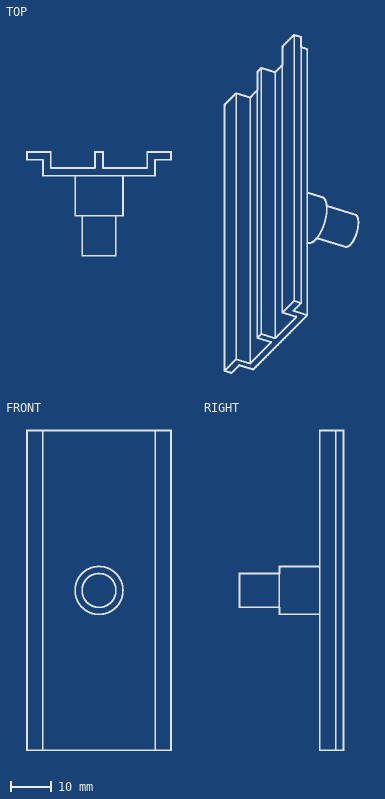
import cadquery as cq

length = 80.0
overall_width = 36.0
channel_width = 28.0
rail_depth = 6.0
wall = 2.0

boss_diameter = 12.0
boss_length = 10.0
pin_diameter = 8.5
pin_length = 10.0

inner_width = channel_width - 2 * wall
front_y = -rail_depth


def bar(width, depth, y_back, x_center=0.0):
    """Full-length rectangular bar reaching forward from y_back."""
    return cq.Workplane("XY").box(width, depth, length).translate((x_center, y_back - depth / 2, 0))


def rail():
    """Front web, two side walls with outward flanges, and a central rear rib."""
    body = bar(channel_width, wall, front_y + wall)
    body = body.union(bar(wall, rail_depth - wall, 0))
    flange_width = (overall_width - inner_width) / 2
    for side in (-1, 1):
        wall_x = side * (channel_width - wall) / 2
        flange_x = side * (overall_width - flange_width) / 2
        body = body.union(bar(wall, rail_depth, 0, wall_x))
        body = body.union(bar(flange_width, wall, 0, flange_x))
    return body


def forward_cylinder(diameter, height, y_start):
    """Cylinder pointing toward -Y from y_start."""
    return cq.Workplane("XZ", origin=(0, y_start, 0)).circle(diameter / 2).extrude(height)


boss = forward_cylinder(boss_diameter, boss_length, front_y)
pin = forward_cylinder(pin_diameter, pin_length, front_y - boss_length)
result = rail().union(boss).union(pin).clean()